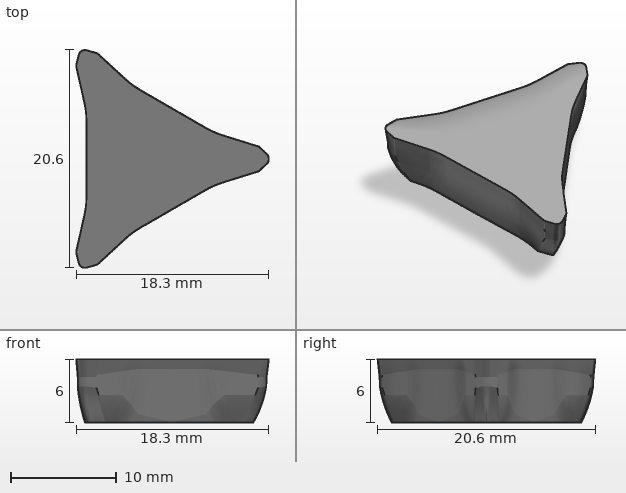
import cadquery as cq
import math

height = 6.0
lobe_angles = (0, 120, 240)

side_normal = 60
tip_normal = 46
upper_flank_normal = 72.7
lower_flank_normal = 72.3
base_tip_normal = 44.6
base_side_normal = 59.6

top_side = 5.47
top_flank = 4.35
top_tip = 8.4

hollow_radius = 7.9
base_hollow_radius = 9.08
corner_radius = 0.27
nose_radius = 0.62
base_nose_radius = 0.12

upper_draft = 5
lower_draft = 1.5
side_band_level = 5.1
flank_band_level = 5.65
tip_band_level = 4.33

upper_bottom = 3.1
lower_top = 5.57

base_side_inset = 0.002
base_side_draft = 3.5
base_flank_slopes = (12, 4)
base_flank_level = 2.65
base_tip = 7.39
base_tip_slopes = (24.5, 9)
base_tip_level = 3.42

roll_top = 3.71
roll_steps = 6


def slope(degrees):
    return math.tan(math.radians(degrees))


def polar(distance, degrees):
    angle = math.radians(degrees)
    return cq.Vector(distance * math.cos(angle), distance * math.sin(angle))


def meet(line_a, line_b):
    """Crossing point of two lines, each given as (normal direction, distance)."""
    (angle_a, distance_a), (angle_b, distance_b) = line_a, line_b
    a, b = math.radians(angle_a), math.radians(angle_b)
    turn = math.sin(b - a)
    x = (distance_a * math.sin(b) - distance_b * math.sin(a)) / turn
    y = (distance_b * math.cos(a) - distance_a * math.cos(b)) / turn
    return cq.Vector(x, y)


def rounded_polygon(lines, radii, z):
    """Closed wire along the lines; radii[i] rounds the corner after line i (0 = sharp)."""
    arcs = []
    for i, radius in enumerate(radii):
        line, following = lines[i], lines[(i + 1) % len(lines)]
        corner = meet(line, following)
        turn = math.radians((following[0] - line[0] + 180) % 360 - 180)
        tangent = radius * abs(math.tan(turn / 2))
        bulge = radius * (1 / math.cos(turn / 2) - 1)
        toward_arc = polar(1, line[0] + math.degrees(turn) / 2) * math.copysign(bulge, -turn)
        start = corner - polar(tangent, line[0] + 90)
        end = corner + polar(tangent, following[0] + 90)
        arcs.append((start, corner + toward_arc, end, radius > 0))

    lift = cq.Vector(0, 0, z)
    edges = []
    previous_end = arcs[-1][2]
    for start, middle, end, is_round in arcs:
        edges.append(cq.Edge.makeLine(previous_end + lift, start + lift))
        if is_round:
            edges.append(cq.Edge.makeThreePointArc(start + lift, middle + lift, end + lift))
        previous_end = end
    return cq.Wire.assembleEdges(edges)


def outline(z, side, flank, tip, hollow, nose):
    """Three-lobed outline from (normal direction, distance) of one side, flank and tip face."""
    straight_side = side[0] == side_normal
    lines = []
    radii = []
    for axis in lobe_angles:
        lines += [(axis - angle, distance) for angle, distance in (side, flank, tip)]
        lines += [(axis + angle, distance) for angle, distance in (tip, flank)]
        radii += [hollow, corner_radius, nose, corner_radius, hollow]
        if not straight_side:
            lines.append((axis + side[0], side[1]))
            radii.append(0)
    return rounded_polygon(lines, radii, z)


def upper_distance(top_distance, z):
    return top_distance - (height - z) * slope(upper_draft)


def lower_distance(top_distance, band_level, z):
    return upper_distance(top_distance, band_level) - (band_level - z) * slope(lower_draft)


def upper_outline(z):
    side = (side_normal, upper_distance(top_side, z))
    flank = (upper_flank_normal, upper_distance(top_flank, z))
    tip = (tip_normal, upper_distance(top_tip, z))
    return outline(z, side, flank, tip, hollow_radius, nose_radius)


def lower_outline(z):
    side = (side_normal, lower_distance(top_side, side_band_level, z))
    flank = (lower_flank_normal, lower_distance(top_flank, flank_band_level, z))
    tip = (tip_normal, lower_distance(top_tip, tip_band_level, z))
    return outline(z, side, flank, tip, hollow_radius, nose_radius)


def roll(z, slopes, level):
    """Outward growth at height z of an arc with the given slopes at z=0 and at level."""
    start, end = (math.radians(angle) for angle in slopes)
    radius = level / (math.sin(start) - math.sin(end))
    angle = math.asin(math.sin(start) - z / radius)
    return radius * (math.cos(angle) - math.cos(start))


def base_outline(z):
    bottom_side = lower_distance(top_side, side_band_level, 0) - base_side_inset
    side = (base_side_normal, bottom_side + z * slope(base_side_draft))
    flank_crest = lower_distance(top_flank, flank_band_level, base_flank_level)
    bottom_flank = flank_crest - roll(base_flank_level, base_flank_slopes, base_flank_level)
    flank = (lower_flank_normal, bottom_flank + roll(z, base_flank_slopes, base_flank_level))
    tip = (base_tip_normal, base_tip + roll(z, base_tip_slopes, base_tip_level))
    nose = base_nose_radius + (nose_radius - base_nose_radius) * z / base_tip_level
    return outline(z, side, flank, tip, base_hollow_radius, nose)


def loft(wires, ruled):
    return cq.Workplane(obj=cq.Solid.makeLoft(wires, ruled))


upper_band = loft([upper_outline(upper_bottom), upper_outline(height)], True)
lower_walls = loft([lower_outline(0), lower_outline(lower_top)], True)

roll_levels = [roll_top * step / roll_steps for step in range(roll_steps + 1)]
rolled_base = loft([base_outline(z) for z in roll_levels], False)
clear_radius = 2 * top_tip
above_roll = cq.Workplane().workplane(offset=roll_top).circle(clear_radius).extrude(height)
walls_above_roll = lower_walls.intersect(above_roll)

result = lower_walls.intersect(rolled_base).union(walls_above_roll).union(upper_band)